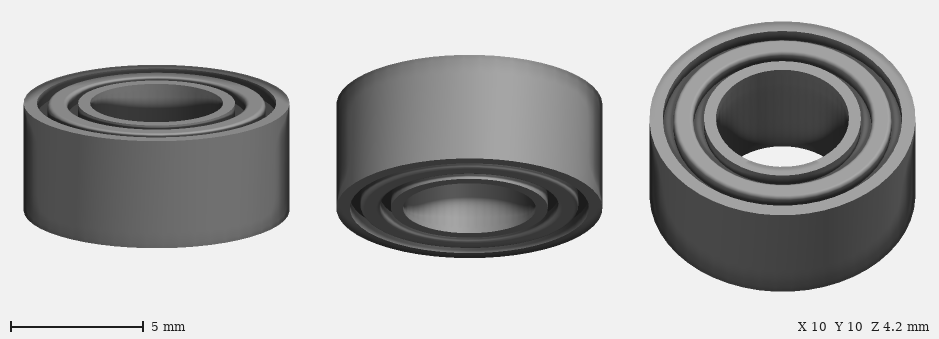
import cadquery as cq

outer_diameter = 10.0
bore_diameter = 5.0
width = 4.2

outer_race_inner_diameter = 9.0
inner_race_outer_diameter = 5.9

ring_outer_diameter = 8.2
ring_inner_diameter = 6.7
ring_edge_radius = 0.15

floor_depth = 0.5


def tube(outside, inside, height):
    """Hollow cylinder centred on the origin, with its axis along Z."""
    return (
        cq.Workplane("XY")
        .circle(outside / 2)
        .circle(inside / 2)
        .extrude(height)
        .translate((0, 0, -height / 2))
    )


outer_race = tube(outer_diameter, outer_race_inner_diameter, width)
inner_race = tube(inner_race_outer_diameter, bore_diameter, width)

web = tube(outer_race_inner_diameter, inner_race_outer_diameter, width - 2 * floor_depth)

ring = tube(ring_outer_diameter, ring_inner_diameter, width)
ring = ring.faces("|Z").edges().fillet(ring_edge_radius)

result = outer_race.union(web).union(inner_race).union(ring)